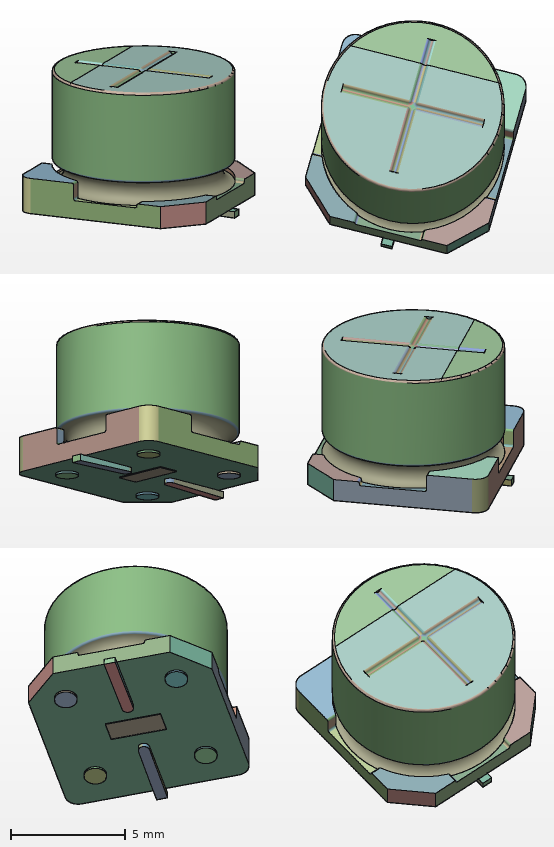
import cadquery as cq
import math


base_side = 8.3
base_height = 1.6
anode_height = 1.01
slot_floor = 0.82
slot_half_width = 1.5
slot_round = 0.09
corner_radius = 0.6
corner_chamfer = 1.5
foot_radius = 0.5
foot_height = 0.1
foot_offset = 2.5
pad_length = 1.0
pad_width = 2.5
pad_height = 0.045

can_radius = 8.0 / 2
can_bottom = 0.5
can_top = 5.91
can_round = 0.1
bead_radius = 0.51
bead_height = slot_floor + bead_radius

groove_length = 6.4
groove_depth = 0.12
groove_flare = 0.2
floor_half_width = 0.002
groove_half_width = floor_half_width + groove_flare
arc_radius = (groove_flare**2 + groove_depth**2) / (4 * groove_depth)
half_arc = math.asin(groove_flare / 2 / arc_radius) / 2
arc_run = arc_radius * math.sin(half_arc)
arc_rise = arc_radius * (1 - math.cos(half_arc))

mark_edge = -2.0
mark_thickness = 0.2

lead_end = 4.45
lead_inner_end = 1.13
lead_width = 0.5
lead_tip_radius = lead_width / 2 - 0.001
lead_outer_thickness = 0.29
lead_inner_thickness = 0.2


def make_can_blank():
    """Revolve the can, its rolled bead and the round above the bead."""
    round_rise = math.sqrt(bead_radius**2 + 2 * bead_radius * can_round)
    share = bead_radius / (bead_radius + can_round)
    neck_radius = can_radius - can_round * share
    neck_rise = round_rise * share

    angle = math.atan2(round_rise, can_round) / 2
    mid_rise = round_rise - can_round * math.sin(angle)
    mid_radius = can_radius - can_round * (1 - math.cos(angle))
    top_mid = can_round * (1 - math.sqrt(0.5))

    return (
        cq.Workplane("XZ")
        .moveTo(0, can_bottom)
        .lineTo(can_radius, can_bottom)
        .lineTo(can_radius, slot_floor)
        .threePointArc((can_radius - bead_radius, bead_height), (neck_radius, bead_height + neck_rise))
        .threePointArc((mid_radius, bead_height + mid_rise), (can_radius, bead_height + round_rise))
        .lineTo(can_radius, can_top - can_round)
        .threePointArc((can_radius - top_mid, can_top - top_mid), (can_radius - can_round, can_top))
        .lineTo(0, can_top)
        .close()
        .revolve(360, (0, 0), (0, 1))
    )


def make_groove_arm():
    """Cutter for the groove along X: its sides are S-curves from the floor up to the rim."""
    middle = floor_half_width + groove_flare / 2
    low_arc = (floor_half_width + arc_run, arc_rise)
    high_arc = (groove_half_width - arc_run, groove_depth - arc_rise)
    half = (
        cq.Workplane("YZ")
        .lineTo(floor_half_width, 0)
        .threePointArc(low_arc, (middle, groove_depth / 2))
        .threePointArc(high_arc, (groove_half_width, groove_depth))
        .lineTo(0, groove_depth)
        .close()
        .extrude(groove_length / 2, both=True)
    )
    return half.union(half.mirror("XZ"))


def make_groove_crossing():
    """Cutter for the star-shaped crossing: a square less a flare under each corner."""
    side = 2 * groove_half_width
    crossing = cq.Workplane("XY").rect(side, side).extrude(groove_depth)
    flare = (
        cq.Workplane("XZ")
        .lineTo(groove_flare, 0)
        .threePointArc((groove_flare - arc_run, arc_rise), (groove_flare / 2, groove_depth / 2))
        .threePointArc((arc_run, groove_depth - arc_rise), (0, groove_depth))
        .close()
        .revolve(360, (0, 0), (0, 1))
    )
    for corner_x in (-groove_half_width, groove_half_width):
        for corner_y in (-groove_half_width, groove_half_width):
            crossing = crossing.cut(flare.translate((corner_x, corner_y, 0)))
    return crossing


def cut_cross_groove(body):
    """Cut two grooves at right angles and their crossing into the can top."""
    arm = make_groove_arm()
    floor = (0, 0, can_top - groove_depth)
    for cutter in (arm, arm.rotate((0, 0, 0), (0, 0, 1), 90), make_groove_crossing()):
        body = body.cut(cutter.translate(floor))
    return body


def make_mark_region():
    """Segment of the flat can top that belongs to the polarity mark."""
    flat_radius = can_radius - can_round
    bottom = can_top - mark_thickness
    disc = cq.Workplane("XY").workplane(offset=bottom).circle(flat_radius).extrude(mark_thickness)
    rest = (
        cq.Workplane("XY")
        .workplane(offset=bottom)
        .moveTo(mark_edge + can_radius, 0)
        .rect(2 * can_radius, 2 * can_radius)
        .extrude(mark_thickness)
    )
    return disc.cut(rest)


def make_slot_half(corner_height):
    """Cutter for half of a side slot, from its middle to beyond one corner block."""
    arc_in = slot_round * (1 - math.sqrt(0.5))
    wall = slot_half_width
    lip_end = wall + slot_round
    cutter_top = base_height + slot_round
    return (
        cq.Workplane("YZ")
        .moveTo(0, slot_floor)
        .lineTo(wall - slot_round, slot_floor)
        .threePointArc((wall - arc_in, slot_floor + arc_in), (wall, slot_floor + slot_round))
        .lineTo(wall, corner_height - slot_round)
        .threePointArc((wall + arc_in, corner_height - arc_in), (lip_end, corner_height))
        .lineTo(lip_end, cutter_top)
        .lineTo(0, cutter_top)
        .close()
        .extrude(base_side / 2)
    )


def make_base():
    """Square base with slotted walls and a round seat for the can."""
    half_side = base_side / 2
    base = cq.Workplane("XY").rect(base_side, base_side).extrude(base_height)
    base = base.edges("|Z and <X").fillet(corner_radius)
    base = base.edges("|Z and >X").chamfer(corner_chamfer)

    lowering = cq.Workplane("XY").box(half_side, base_side, base_height, centered=(False, True, False))
    base = base.cut(lowering.translate((0, 0, anode_height)))

    for side_angle in (0, 90, 180, 270):
        for mirrored in (False, True):
            turn = side_angle - 90 if mirrored else side_angle + 90
            on_anode_side = side_angle == 0 or turn % 360 == 0
            cutter = make_slot_half(anode_height if on_anode_side else base_height)
            if mirrored:
                cutter = cutter.mirror("XZ")
            base = base.cut(cutter.rotate((0, 0, 0), (0, 0, 1), side_angle))

    feet = (
        cq.Workplane("XY")
        .rect(2 * foot_offset, 2 * foot_offset, forConstruction=True)
        .vertices()
        .circle(foot_radius)
        .extrude(-foot_height)
    )
    pad = cq.Workplane("XY").rect(pad_length, pad_width).extrude(-pad_height)
    seat = cq.Workplane("XY").workplane(offset=can_bottom).circle(can_radius).extrude(base_height)
    return base.union(feet).union(pad).cut(seat)


def make_lead():
    """Lead on the +X side: a wedge that thins toward its rounded inner end."""
    side = (
        cq.Workplane("XZ")
        .moveTo(lead_end, 0)
        .lineTo(lead_end, -lead_outer_thickness)
        .lineTo(lead_inner_end, -lead_inner_thickness)
        .lineTo(lead_inner_end, 0)
        .close()
        .extrude(lead_width / 2, both=True)
    )
    return side.edges("|Z and <X").fillet(lead_tip_radius)


grooved_can = cut_cross_groove(make_can_blank())
mark_region = make_mark_region()
can = grooved_can.cut(mark_region)
mark = grooved_can.intersect(mark_region)
base = make_base()

leads = []
for lead_angle in (0, 180):
    leads.append(make_lead().rotate((0, 0, 0), (0, 0, 1), lead_angle).val())

result = cq.Compound.makeCompound([base.val(), can.val(), mark.val(), *leads])